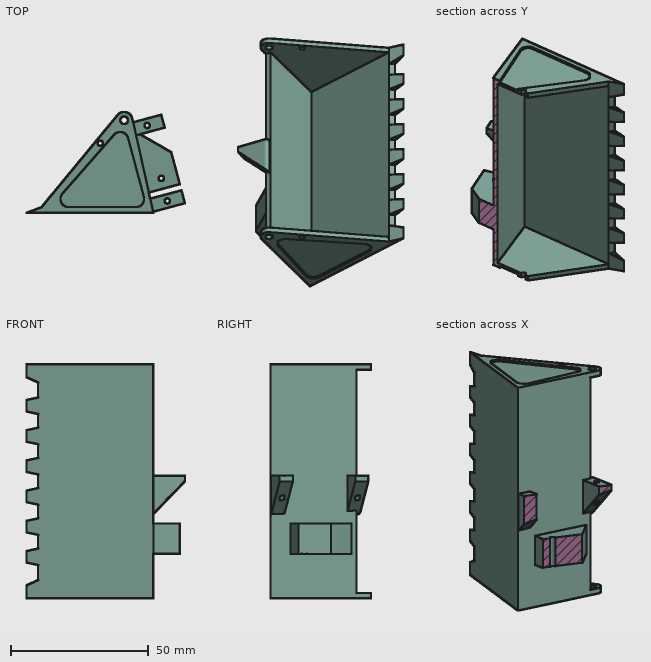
import cadquery as cq
import math

LENGTH = 85.0
BASE_DEPTH = 46.1
PLATE = 2.0
LIP_DEPTH = 5.4
WALL_TOP = 31.4
HINGE_X = 35.45
HINGE_Y = 33.6
HINGE_RADIUS = 3.1
HINGE_HOLE = 2.7
PIN_HOLE_X = 26.8
PIN_HOLE_Y = 25.25
PIN_HOLE = 1.9

RECESS_CORNERS = [(8.75, PLATE), (43.6, PLATE), (HINGE_X, 32.5)]
RECESS_DEPTH = 0.7
RECESS_RADIUS = 3.0

TOOTH_COUNT = 6
TOOTH_PITCH = 11.0
TOOTH_TIP = 4.25
TOOTH_ROOT = 6.0
TOOTH_LENGTH = 4.2
END_TOOTH_TIP = 4.8
END_TOOTH_ROOT = 6.6

MOUNT_ANGLE = 15.0
MOUNT_REACH = 12.0
MOUNT_HOLE = 1.9
LUG_WIDTH = 4.9
LOWER_LUG_START = 0.3
UPPER_LUG_START = 28.7
LUG_TOP = 44.5
LUG_TIP_HEIGHT = 2.0
LUG_CORNER_RADIUS = 1.3
LOWER_LUG_ROOT = -0.85
UPPER_LUG_ROOT = -0.2
BLOCK_START = 7.5
BLOCK_CHAMFER_START = 19.55
BLOCK_HOLE = 11.3
BLOCK_BOTTOM = 16.15
BLOCK_HEIGHT = 11.05


def tangent_point(x, y, side):
    """Point where a line from (x, y) touches the hinge circle; side is +1 (left) or -1 (right)."""
    dx = x - HINGE_X
    dy = y - HINGE_Y
    half_angle = math.acos(HINGE_RADIUS / math.hypot(dx, dy))
    angle = math.atan2(dy, dx) - side * half_angle
    return HINGE_X + HINGE_RADIUS * math.cos(angle), HINGE_Y + HINGE_RADIUS * math.sin(angle)


rear_tangent = tangent_point(BASE_DEPTH, 0, -1)
front_tangent = tangent_point(LIP_DEPTH, PLATE, 1)
wall_lean = math.atan2(BASE_DEPTH - rear_tangent[0], rear_tangent[1])


def make_side_plate(bottom):
    return (
        cq.Workplane("XY", origin=(0, 0, bottom))
        .moveTo(0, 0)
        .lineTo(BASE_DEPTH, 0)
        .lineTo(*rear_tangent)
        .threePointArc((HINGE_X, HINGE_Y + HINGE_RADIUS), front_tangent)
        .lineTo(LIP_DEPTH, PLATE)
        .close()
        .extrude(PLATE)
        .cut(cq.Workplane("XY", origin=(HINGE_X, HINGE_Y, 0)).circle(HINGE_HOLE / 2).extrude(LENGTH))
        .cut(cq.Workplane("XY", origin=(PIN_HOLE_X, PIN_HOLE_Y, 0)).circle(PIN_HOLE / 2).extrude(LENGTH))
    )


def make_recess(bottom):
    return (
        cq.Workplane("XY", origin=(0, 0, bottom))
        .polyline(RECESS_CORNERS)
        .close()
        .extrude(RECESS_DEPTH)
        .edges("|Z")
        .fillet(RECESS_RADIUS)
    )


def make_shell():
    """Floor with its sloped lip, and the leaning rear wall with a square-cut top end."""
    floor_rear = BASE_DEPTH - PLATE * math.tan(wall_lean)
    floor = (
        cq.Workplane("XY")
        .polyline([(0, 0), (BASE_DEPTH, 0), (floor_rear, PLATE), (LIP_DEPTH, PLATE)])
        .close()
        .extrude(LENGTH)
    )
    outer_top_x = BASE_DEPTH - WALL_TOP * math.tan(wall_lean)
    inner_top = (outer_top_x - PLATE * math.cos(wall_lean), WALL_TOP - PLATE * math.sin(wall_lean))
    wall = (
        cq.Workplane("XY")
        .polyline([
            (BASE_DEPTH, 0),
            (outer_top_x, WALL_TOP),
            inner_top,
            (BASE_DEPTH - PLATE / math.cos(wall_lean), 0),
        ])
        .close()
        .extrude(LENGTH)
    )
    return floor.union(wall)


def make_tooth_gaps():
    """Tapered notches between the teeth, whose roots slope up to the top of the lip."""
    first_center = (LENGTH - (TOOTH_COUNT - 1) * TOOTH_PITCH) / 2
    teeth = [(0, END_TOOTH_TIP, END_TOOTH_ROOT)]
    for index in range(TOOTH_COUNT):
        teeth.append((first_center + index * TOOTH_PITCH, TOOTH_TIP / 2, TOOTH_ROOT / 2))
    teeth.append((LENGTH, END_TOOTH_TIP, END_TOOTH_ROOT))

    root_slope = (
        cq.Workplane("XY")
        .polyline([(0, 0), (TOOTH_LENGTH, 0), (LIP_DEPTH, PLATE), (0, PLATE)])
        .close()
        .extrude(LENGTH)
    )
    flank_scale = LIP_DEPTH / TOOTH_LENGTH

    gaps = cq.Workplane("XY")
    for (z_low, tip_low, root_low), (z_high, tip_high, root_high) in zip(teeth, teeth[1:]):
        rise_low = (root_low - tip_low) * flank_scale
        rise_high = (root_high - tip_high) * flank_scale
        gap = (
            cq.Workplane("XZ")
            .polyline([
                (0, z_low + tip_low),
                (LIP_DEPTH, z_low + tip_low + rise_low),
                (LIP_DEPTH, z_high - tip_high - rise_high),
                (0, z_high - tip_high),
            ])
            .close()
            .extrude(-PLATE)
        )
        gaps = gaps.union(gap)
    return gaps.intersect(root_slope)


def make_mount_hole(across):
    return (
        cq.Workplane("XY")
        .center(MOUNT_REACH / 2, across)
        .circle(MOUNT_HOLE / 2)
        .extrude(LENGTH)
    )


def make_lug(start, root):
    """Drilled lug with a flat top and a 45 degree underside, in the bracket frame."""
    tip_bottom = LUG_TOP - LUG_TIP_HEIGHT
    lug = (
        cq.Workplane("XZ", origin=(0, start, 0))
        .polyline([
            (root, LUG_TOP),
            (MOUNT_REACH, LUG_TOP),
            (MOUNT_REACH, tip_bottom),
            (root, tip_bottom - (MOUNT_REACH - root)),
        ])
        .close()
        .extrude(-LUG_WIDTH)
    )
    return lug.cut(make_mount_hole(start + LUG_WIDTH / 2))


def make_block():
    """Wide drilled bracket with a 45 degree upper edge, in the bracket frame."""
    return (
        cq.Workplane("XY", origin=(0, 0, BLOCK_BOTTOM))
        .polyline([
            (0, BLOCK_START),
            (MOUNT_REACH, BLOCK_START),
            (MOUNT_REACH, BLOCK_CHAMFER_START),
            (0, BLOCK_CHAMFER_START + MOUNT_REACH),
        ])
        .close()
        .extrude(BLOCK_HEIGHT)
        .cut(make_mount_hole(BLOCK_HOLE))
    )


def make_brackets():
    upper_lug = make_lug(UPPER_LUG_START, UPPER_LUG_ROOT)
    upper_lug = upper_lug.edges("|Z and <X and >Y").fillet(LUG_CORNER_RADIUS)
    brackets = make_lug(LOWER_LUG_START, LOWER_LUG_ROOT).union(upper_lug).union(make_block())
    return brackets.rotate((0, 0, 0), (0, 0, 1), MOUNT_ANGLE).translate((BASE_DEPTH, 0, 0))


result = (
    make_shell()
    .union(make_side_plate(0))
    .union(make_side_plate(LENGTH - PLATE))
    .cut(make_recess(0))
    .cut(make_recess(LENGTH - RECESS_DEPTH))
    .cut(make_tooth_gaps())
    .union(make_brackets())
)